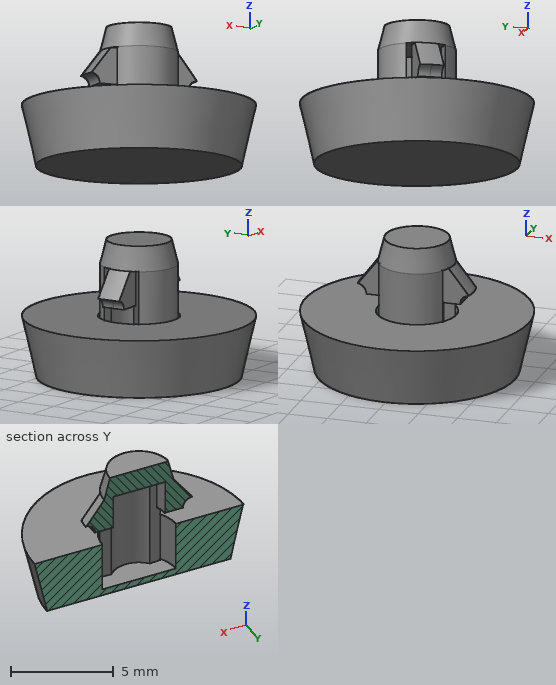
import cadquery as cq

disc_bottom_radius = 5.0
disc_top_radius = 5.7
disc_height = 3.0

socket_radius = 2.0
socket_depth = 2.62
socket_floor = disc_height - socket_depth

head_top_radius = 1.6
clip_radius = 1.9
bore_radius = 1.4
head_height = 1.2
leg_rise = 2.6
head_base = disc_height + leg_rise
leg_length = head_base - socket_floor

gap_inner_x = 1.06
gap_inner_half_width = 0.93
gap_outer_x = 1.63
gap_outer_half_width = 0.97
gap_flare = (gap_outer_half_width - gap_inner_half_width) / (gap_outer_x - gap_inner_x)

arm_width = 1.2
arm_tip_radius = 2.9
arm_tip_drop = 1.3
arm_length = 1.8
arm_bottom = head_base - arm_length
barb_notch_radius = 0.5


def make_disc():
    cone = (
        cq.Workplane("XZ")
        .polyline([(0, 0), (disc_bottom_radius, 0), (disc_top_radius, disc_height), (0, disc_height)])
        .close()
        .revolve(360, (0, 0), (0, 1))
    )
    socket = (
        cq.Workplane("XY", origin=(0, 0, socket_floor))
        .circle(socket_radius)
        .extrude(socket_depth)
    )
    return cone.cut(socket)


def make_head():
    return (
        cq.Workplane("XZ", origin=(0, 0, head_base))
        .polyline([(0, 0), (clip_radius, 0), (head_top_radius, head_height), (0, head_height)])
        .close()
        .revolve(360, (0, 0), (0, 1))
    )


def gap_half_width(x):
    return gap_inner_half_width + gap_flare * (x - gap_inner_x)


def make_legs():
    legs = (
        cq.Workplane("XY", origin=(0, 0, socket_floor))
        .circle(clip_radius)
        .circle(bore_radius)
        .extrude(leg_length)
    )
    middle = gap_half_width(0)
    end = gap_half_width(clip_radius)
    gaps = (
        cq.Workplane("XY", origin=(0, 0, socket_floor))
        .polyline([
            (-clip_radius, -end), (0, -middle), (clip_radius, -end),
            (clip_radius, end), (0, middle), (-clip_radius, end),
        ])
        .close()
        .extrude(leg_length)
    )
    return legs.cut(gaps)


def make_arms():
    sleeve = (
        cq.Workplane("XZ")
        .polyline([
            (bore_radius, head_base),
            (clip_radius, head_base),
            (arm_tip_radius, head_base - arm_tip_drop),
            (arm_tip_radius, arm_bottom),
            (bore_radius, arm_bottom),
        ])
        .close()
        .revolve(360, (0, 0), (0, 1))
    )
    strip = (
        cq.Workplane("XY", origin=(0, 0, arm_bottom))
        .rect(2 * arm_tip_radius, arm_width)
        .extrude(arm_length)
    )
    notches = (
        cq.Workplane("XZ", origin=(0, 0, arm_bottom))
        .pushPoints([(-arm_tip_radius, 0), (arm_tip_radius, 0)])
        .circle(barb_notch_radius)
        .extrude(arm_width, both=True)
    )
    return sleeve.intersect(strip).cut(notches)


def make_clip():
    return make_head().union(make_legs()).union(make_arms())


disc = make_disc()
clip = make_clip()
result = cq.Compound.makeCompound([disc.val(), *clip.solids().vals()])